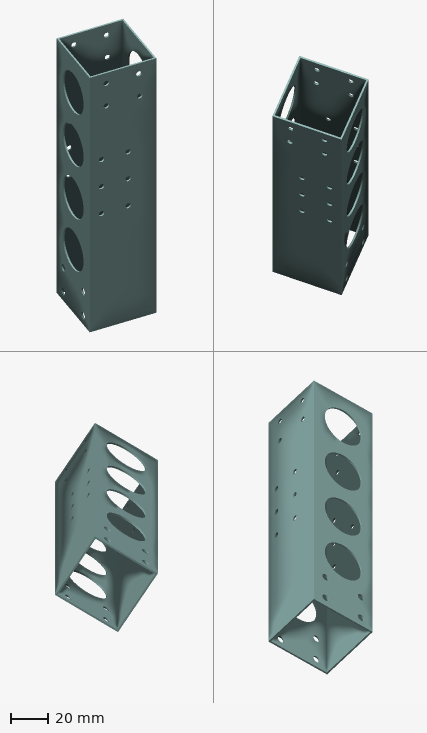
import cadquery as cq

height = 170.0
width = 40.0
wall = 1.0

opening_diameter = 25.0
opening_count = 4
opening_pitch = 35.0
lowest_opening_z = 42.0

mount_diameter = 4.2
mount_half_spacing = 12.0
mount_heights = (6.0, 22.0)

side_diameter = 3.2

upper_front_y = -10.0
upper_rear_y = 10.0
top_rear_y = 9.5
top_pair_z = height - 7.0
second_pair_z = height - 22.0

middle_ys = (-13.0, 3.0)
middle_top_z = height - 57.0
middle_pitch = 18.0
middle_rows = 3


def holes_along_y(points, diameter):
    """Cylinders crossing the whole tube along Y, at (x, z) points."""
    return cq.Workplane("XZ").pushPoints(points).circle(diameter / 2).extrude(width, both=True)


def holes_along_x(points, diameter):
    """Cylinders crossing the whole tube along X, at (y, z) points."""
    return cq.Workplane("YZ").pushPoints(points).circle(diameter / 2).extrude(width, both=True)


tube = (
    cq.Workplane("XY")
    .rect(width, width)
    .rect(width - 2 * wall, width - 2 * wall)
    .extrude(height)
)

opening_points = [(0, lowest_opening_z + i * opening_pitch) for i in range(opening_count)]

mount_points = [(x, z) for x in (-mount_half_spacing, mount_half_spacing) for z in mount_heights]

upper_points = [
    (upper_front_y, top_pair_z),
    (top_rear_y, top_pair_z),
    (upper_front_y, second_pair_z),
    (upper_rear_y, second_pair_z),
]
middle_points = [(y, middle_top_z - i * middle_pitch) for y in middle_ys for i in range(middle_rows)]

result = (
    tube.cut(holes_along_y(opening_points, opening_diameter))
    .cut(holes_along_y(mount_points, mount_diameter))
    .cut(holes_along_x(upper_points + middle_points, side_diameter))
)